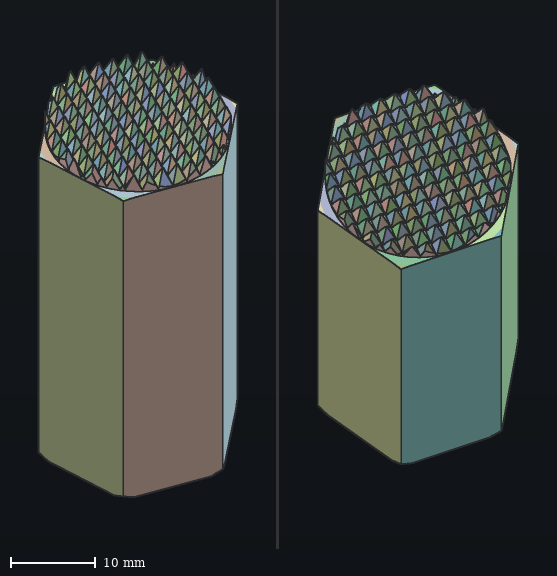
import cadquery as cq
import math

across_corners = 25.4
across_flats = across_corners * math.cos(math.radians(30))
total_height = 50.0
body_height = 47.45
bottom_chamfer = 0.65
top_bevel_width = 0.6
top_bevel_drop = 0.1

teeth_across = 12
tip_width = 0.15
tooth_height = 2.3
pitch = across_flats / teeth_across
valley_z = total_height - tooth_height

corner_radius = across_corners / 2
face_radius = across_flats / 2


def make_body():
    """Hexagonal prism with corners on the Y axis, its corners turned off at both ends."""
    prism = (
        cq.Workplane("XY")
        .polygon(6, across_corners)
        .extrude(body_height)
        .rotate((0, 0, 0), (0, 0, 1), 90)
    )
    envelope = (
        cq.Workplane("XY")
        .circle(corner_radius)
        .extrude(body_height)
        .faces("<Z")
        .chamfer(bottom_chamfer)
        .faces(">Z")
        .chamfer(top_bevel_drop, top_bevel_width)
    )
    return prism.intersect(envelope)


def make_ridges():
    """Row of ridges running along Y, joined by a layer of solid below the valleys."""
    row_start = -teeth_across * pitch / 2
    points = [(row_start, body_height), (row_start, valley_z)]
    for i in range(teeth_across):
        tip_x = row_start + (i + 0.5) * pitch
        points.append((tip_x - tip_width / 2, total_height))
        points.append((tip_x + tip_width / 2, total_height))
        points.append((tip_x + pitch / 2, valley_z))
    points.append((-row_start, body_height))
    return cq.Workplane("XZ").polyline(points).close().extrude(face_radius, both=True)


def make_teeth():
    """Crossed ridges leave square pyramids, trimmed to the round end face."""
    ridges = make_ridges()
    crossing_ridges = ridges.rotate((0, 0, 0), (0, 0, 1), 90)
    boss = cq.Workplane("XY").workplane(offset=body_height).circle(face_radius)
    boss = boss.extrude(total_height - body_height)
    return boss.intersect(ridges).intersect(crossing_ridges)


result = make_body().union(make_teeth())